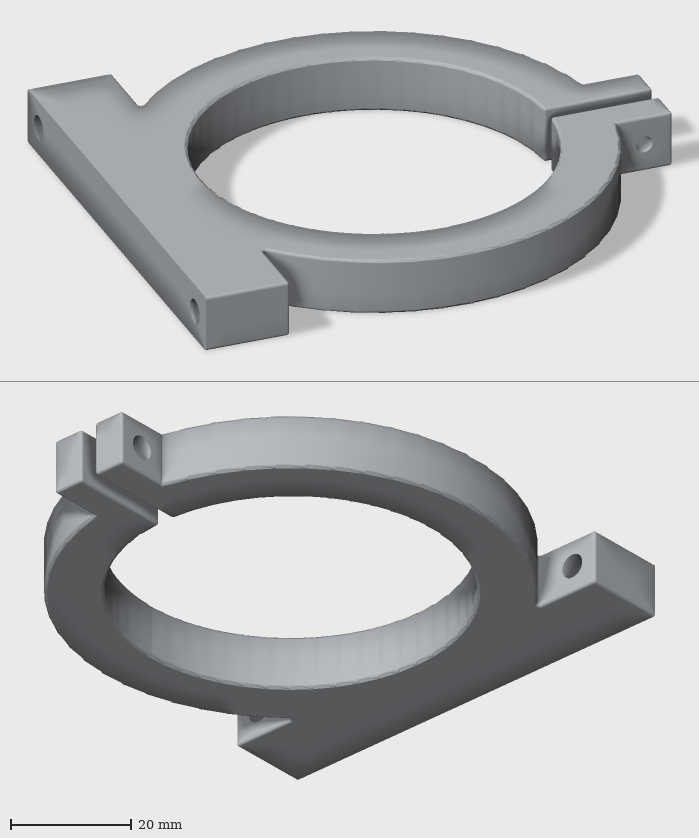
import cadquery as cq
import math

thickness = 10.0
bore_radius = 31.0
ring_outer_radius = 41.0
base_width = 80.0
base_depth = 15.0
clamp_gap = 3.0
ear_thickness = 6.0
ear_length = 10.0
edge_round = 0.5
notch_fillet = 0.5
clearance_hole_diameter = 4.4
thread_hole_diameter = 3.0
base_hole_spacing = 70.0

ring_center_y = base_depth + bore_radius
ears_width = clamp_gap + 2 * ear_thickness
ear_root_y = ring_center_y + math.sqrt(ring_outer_radius**2 - (ears_width / 2) ** 2)
ear_top_y = ear_root_y + ear_length
notch_x = math.sqrt(ring_outer_radius**2 - bore_radius**2)
mid_z = thickness / 2


def block(width, y_start, y_end):
    """Full-thickness block centred on X = 0, between two Y positions."""
    return (
        cq.Workplane("XY")
        .center(0, (y_start + y_end) / 2)
        .rect(width, y_end - y_start)
        .extrude(thickness)
    )


def cylinder_z(radius):
    """Full-thickness cylinder on the ring axis."""
    return cq.Workplane("XY").center(0, ring_center_y).circle(radius).extrude(thickness)


def vertical_edges_near(body, x, y):
    """Vertical edges at the mirrored positions (-x, y) and (x, y)."""
    left = cq.selectors.NearestToPointSelector((-x, y, mid_z))
    right = cq.selectors.NearestToPointSelector((x, y, mid_z))
    return body.edges("|Z").edges(left + right)


def clamp_body():
    """Split ring with two clamping ears on a straight mounting base."""
    body = cylinder_z(ring_outer_radius)
    body = body.union(block(base_width, 0, base_depth))
    body = body.union(block(ears_width, ring_center_y, ear_top_y))
    body = body.cut(cylinder_z(bore_radius))
    return body.cut(block(clamp_gap, ring_center_y, ear_top_y))


def finish_edges(body):
    """Round the base notches, the outward corners and the rims, leaving the mounting face sharp."""
    body = vertical_edges_near(body, notch_x, base_depth).fillet(notch_fillet)

    bore_lip_y = ring_center_y + math.sqrt(bore_radius**2 - (clamp_gap / 2) ** 2)
    convex_corners = [
        (clamp_gap / 2, bore_lip_y),
        (clamp_gap / 2, ear_top_y),
        (ears_width / 2, ear_top_y),
        (base_width / 2, base_depth),
    ]
    for x, y in convex_corners:
        body = vertical_edges_near(body, x, y).fillet(edge_round)

    mounting_edges = body.faces("<Y").edges().objects
    rim_edges = [
        edge
        for edge in body.faces("|Z").edges().objects
        if not any(edge.isSame(other) for other in mounting_edges)
    ]
    return body.newObject(rim_edges).fillet(edge_round)


def drill_ears(body):
    """Clamping screw: clearance hole in the -X ear, smaller thread hole in the +X ear."""
    hole_y = ear_top_y - ear_length / 2
    axis_plane = cq.Workplane("YZ").center(hole_y, mid_z)
    clearance = axis_plane.circle(clearance_hole_diameter / 2).extrude(-ears_width / 2)
    thread = axis_plane.circle(thread_hole_diameter / 2).extrude(ears_width / 2)
    return body.cut(clearance).cut(thread)


def drill_base(body):
    """Two mounting holes through the base along Y."""
    for x in (-base_hole_spacing / 2, base_hole_spacing / 2):
        hole = (
            cq.Workplane("XZ")
            .center(x, mid_z)
            .circle(clearance_hole_diameter / 2)
            .extrude(-base_depth)
        )
        body = body.cut(hole)
    return body


result = drill_base(drill_ears(finish_edges(clamp_body())))